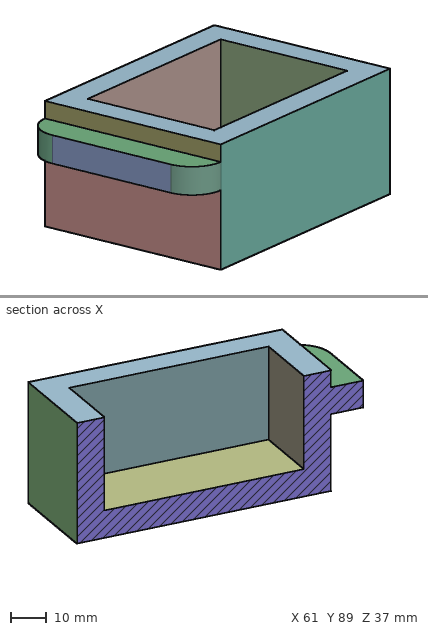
import cadquery as cq

width = 61.0
total_length = 89.0
height = 37.0

wall = 8.5
floor = 8.5

lip_reach = 10.0
lip_thickness = 8.4
lip_drop = 5.2

box_length = total_length - lip_reach
front_y = -box_length / 2


def make_box():
    """Rectangular box, open at the top, with equal walls."""
    outer = cq.Workplane("XY").box(width, box_length, height, centered=(True, True, False))
    pocket = (
        cq.Workplane("XY")
        .workplane(offset=floor)
        .rect(width - 2 * wall, box_length - 2 * wall)
        .extrude(height - floor)
    )
    return outer.cut(pocket)


def make_lip():
    """Full-width lip whose outer corners are quarter circles as deep as the lip."""
    lip_bottom = height - lip_drop - lip_thickness
    half_width = width / 2
    return (
        cq.Workplane("XY")
        .workplane(offset=lip_bottom)
        .moveTo(-half_width, front_y)
        .radiusArc((-half_width + lip_reach, front_y - lip_reach), -lip_reach)
        .lineTo(half_width - lip_reach, front_y - lip_reach)
        .radiusArc((half_width, front_y), -lip_reach)
        .close()
        .extrude(lip_thickness)
    )


result = make_box().union(make_lip())